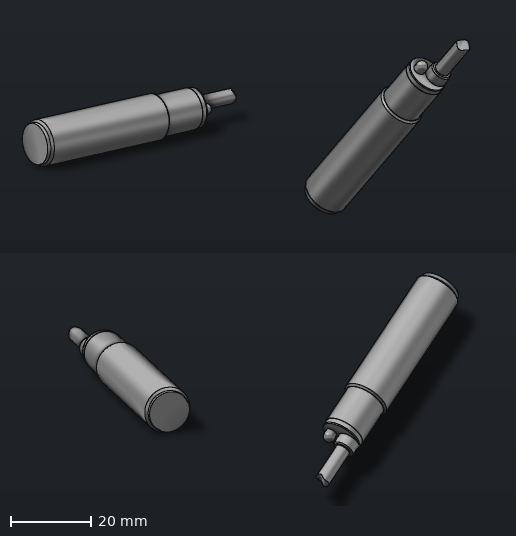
import cadquery as cq

total_length = 63.5

barrel_diameter = 12.0
sleeve_diameter = 10.8
nose_diameter = 10.6
cap_diameter = 10.6

nose_length = 1.0
front_chamfer_length = 0.6
barrel_end = 37.9
barrel_rear_chamfer = 0.5
sleeve_end = 48.4
cap_end = 50.0
cap_chamfer_length = 0.3
cap_chamfer_depth = 0.1

cable_x = -2.3
relief_tip_diameter = 5.6
relief_base_diameter = 5.85
relief_end = 53.0
relief_chamfer = 0.3
cable_diameter = 3.9
crest_height = 0.4
trough_depth = 0.5

lamp_x = 2.6
lamp_diameter = 3.0
lamp_straight_length = 1.35

front_y = -total_length / 2


def revolve_about_y(profile, axis_x=0.0):
    """Revolve a closed half profile, drawn in (radius, Y), about an axis parallel to Y."""
    return profile.close().revolve(360, (0, 0), (0, 1)).translate((axis_x, front_y, 0))


def make_body():
    barrel_radius = barrel_diameter / 2
    sleeve_radius = sleeve_diameter / 2
    nose_radius = nose_diameter / 2
    cap_radius = cap_diameter / 2
    profile = cq.Workplane("XY").polyline([
        (0, 0),
        (nose_radius, 0),
        (nose_radius, nose_length),
        (barrel_radius, nose_length + front_chamfer_length),
        (barrel_radius, barrel_end - barrel_rear_chamfer),
        (barrel_radius - barrel_rear_chamfer, barrel_end),
        (sleeve_radius, barrel_end),
        (sleeve_radius, sleeve_end),
        (cap_radius, sleeve_end),
        (cap_radius, cap_end - cap_chamfer_length),
        (cap_radius - cap_chamfer_depth, cap_end),
        (0, cap_end),
    ])
    return revolve_about_y(profile)


def make_strain_relief():
    """Slightly tapered collar with a chamfered rear edge."""
    tip_radius = relief_tip_diameter / 2
    base_radius = relief_base_diameter / 2
    root = sleeve_end
    profile = cq.Workplane("XY").polyline([
        (0, root),
        (base_radius, root),
        (base_radius, cap_end),
        (tip_radius, relief_end - relief_chamfer),
        (tip_radius - relief_chamfer, relief_end),
        (0, relief_end),
    ])
    return revolve_about_y(profile, cable_x)


def make_cable():
    """Cable cut off by a wavy break: a crest on the -X half and a trough on the +X half."""
    radius = cable_diameter / 2
    break_y = total_length - crest_height
    cylinder = revolve_about_y(
        cq.Workplane("XY").moveTo(0, sleeve_end).lineTo(radius, sleeve_end)
        .lineTo(radius, total_length).lineTo(0, total_length),
        cable_x,
    )
    kept_region = (
        cq.Workplane("XY")
        .moveTo(-radius, sleeve_end)
        .lineTo(-radius, break_y)
        .threePointArc((-radius / 2, total_length), (0, break_y))
        .threePointArc((radius / 2, break_y - trough_depth), (radius, break_y))
        .lineTo(radius, sleeve_end)
        .close()
        .extrude(cable_diameter, both=True)
        .translate((cable_x, front_y, 0))
    )
    return cylinder.intersect(kept_region)


def make_lamp():
    """Short pin with a hemispherical end."""
    radius = lamp_diameter / 2
    dome_start = cap_end + lamp_straight_length
    arc_offset = radius * 0.5 ** 0.5
    profile = (
        cq.Workplane("XY")
        .moveTo(0, sleeve_end)
        .lineTo(radius, sleeve_end)
        .lineTo(radius, dome_start)
        .threePointArc((arc_offset, dome_start + arc_offset), (0, dome_start + radius))
    )
    return revolve_about_y(profile, lamp_x)


result = make_body().union(make_strain_relief()).union(make_cable()).union(make_lamp())